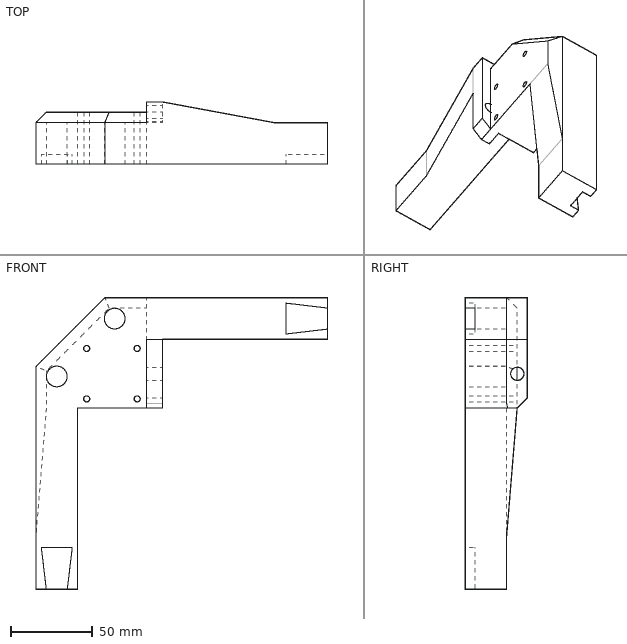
import cadquery as cq

length = 179.0
arm_width = 25.6
corner_cut = 42.2
gusset = 67.8

base_depth = 25.6
pad_depth = 32.0
full_depth = 38.3
pad_chamfer = pad_depth - base_depth

flange_thickness = 9.8

upper_ramp_start = gusset + flange_thickness
lower_ramp_start = gusset
ramp_end = 146.2

flange_back_chamfer = full_depth - pad_depth
flange_front_chamfer_height = 2.9
flange_front_chamfer_depth = 0.5
flange_hole_diameter = 8.0
flange_hole_drop = 46.7

socket_diameter = 12.7
socket_depth = base_depth
socket_near = arm_width / 2
socket_far = 48.3
screw_diameter = 3.5
screw_near = 31.1
screw_far = 62.1

dovetail_length = arm_width
dovetail_inner_width = 19.0
dovetail_mouth_width = 12.9
dovetail_depth = 6.0


def front_prism(points, start, end):
    """Extrude an X-Z outline along Y from start to end."""
    plane = cq.Workplane("XZ", origin=(0, start, 0))
    return plane.polyline(points).close().extrude(start - end)


def front_hole(x, z, diameter, depth):
    """Cylinder running from the front face into the part."""
    return cq.Workplane("XZ").center(x, z).circle(diameter / 2).extrude(-depth)


def make_base():
    outline = [
        (corner_cut, 0),
        (length, 0),
        (length, -arm_width),
        (gusset, -arm_width),
        (gusset, -gusset),
        (arm_width, -gusset),
        (arm_width, -length),
        (0, -length),
        (0, -corner_cut),
    ]
    return front_prism(outline, 0, base_depth)


def make_pad():
    """Raised back of the gusset, bevelled outside and tapering down the lower arm."""
    outline = [
        (corner_cut, 0),
        (gusset, 0),
        (gusset, -gusset),
        (arm_width, -gusset),
        (arm_width, -ramp_end),
        (0, -ramp_end),
        (0, -corner_cut),
    ]
    pad = front_prism(outline, 0, pad_depth)
    middle = corner_cut / 2
    bevelled_edges = [
        ((corner_cut + gusset) / 2, 0),
        (middle, -middle),
        (0, -(corner_cut + ramp_end) / 2),
    ]
    upper, diagonal, lower = [
        cq.selectors.NearestToPointSelector((x, pad_depth, z)) for x, z in bevelled_edges
    ]
    pad = pad.edges(upper + diagonal + lower).chamfer(pad_chamfer)
    side_profile = [
        (0, 0),
        (pad_depth, 0),
        (pad_depth, -lower_ramp_start),
        (base_depth, -ramp_end),
        (0, -ramp_end),
    ]
    taper = cq.Workplane("YZ").polyline(side_profile).close().extrude(gusset)
    return pad.intersect(taper)


def make_upper_ramp():
    """Thickened back of the upper arm."""
    profile = [
        (gusset, 0),
        (gusset, full_depth),
        (upper_ramp_start, full_depth),
        (ramp_end, base_depth),
        (ramp_end, 0),
    ]
    return cq.Workplane("XY").polyline(profile).close().extrude(-arm_width)


def make_flange():
    """Wall below the upper arm, with its lower edges bevelled and a cross hole."""
    profile = [
        (base_depth, 0),
        (full_depth, 0),
        (full_depth, flange_back_chamfer - gusset),
        (full_depth - flange_back_chamfer, -gusset),
        (base_depth + flange_front_chamfer_depth, -gusset),
        (base_depth, flange_front_chamfer_height - gusset),
    ]
    plane = cq.Workplane("YZ", origin=(gusset, 0, 0))
    wall = plane.polyline(profile).close().extrude(flange_thickness)
    hole = (
        plane.center(pad_depth, -flange_hole_drop)
        .circle(flange_hole_diameter / 2)
        .extrude(flange_thickness)
    )
    return wall.cut(hole)


def make_dovetail(on_upper_arm):
    """Pocket that narrows towards the end of the arm."""
    inner_end = length - dovetail_length
    outline = [
        (inner_end, -dovetail_inner_width / 2),
        (length, -dovetail_mouth_width / 2),
        (length, dovetail_mouth_width / 2),
        (inner_end, dovetail_inner_width / 2),
    ]
    if on_upper_arm:
        points = [(along, across - arm_width / 2) for along, across in outline]
    else:
        points = [(across + arm_width / 2, -along) for along, across in outline]
    return front_prism(points, 0, dovetail_depth)


result = make_base().union(make_pad()).union(make_upper_ramp()).union(make_flange())

for x, z in ((socket_far, -socket_near), (socket_near, -socket_far)):
    result = result.cut(front_hole(x, z, socket_diameter, socket_depth))

for x in (screw_near, screw_far):
    for z in (-screw_near, -screw_far):
        result = result.cut(front_hole(x, z, screw_diameter, pad_depth))

for on_upper_arm in (True, False):
    result = result.cut(make_dovetail(on_upper_arm))